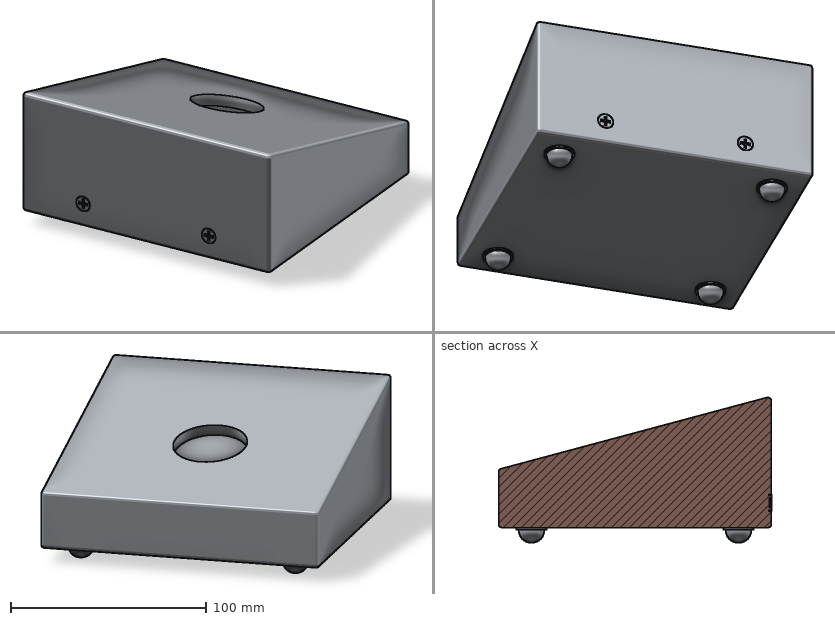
import cadquery as cq
import math

width = 148.0
depth = 140.0
total_height = 74.6
foot_height = 7.7
slope_angle = 15.0
edge_radius = 2.0

recess_diameter = 38.0
recess_depth = 5.9
recess_y = 81.1

flange_diameter = 15.5
flange_thickness = 1.0
dome_radius = foot_height - flange_thickness
foot_inset = 17.0

screw_hole_diameter = 8.3
screw_head_diameter = 8.0
screw_gap_depth = 1.5
screw_spacing = 74.9
screw_z = 12.9
cross_length = 5.0
cross_width = 1.2
cross_depth = 1.0

slope = math.radians(slope_angle)
ridge_loss = edge_radius * (1 / math.cos(slope) + math.tan(slope) - 1)
front_height = total_height - foot_height + ridge_loss
back_height = front_height - depth * math.tan(slope)


def make_body():
    profile = [(0, 0), (depth, 0), (depth, back_height), (0, front_height)]
    wedge = cq.Workplane("YZ").polyline(profile).close().extrude(width)
    return wedge.edges().fillet(edge_radius)


def make_recess():
    center = (width / 2, recess_y, front_height - recess_y * math.tan(slope))
    top_normal = (0, math.sin(slope), math.cos(slope))
    top_plane = cq.Plane(origin=center, xDir=(1, 0, 0), normal=top_normal)
    return (
        cq.Workplane(top_plane)
        .circle(recess_diameter / 2)
        .extrude(recess_depth, both=True)
    )


def make_foot(x, y):
    flange = cq.Workplane("XY").center(x, y).circle(flange_diameter / 2).extrude(-flange_thickness)
    ball = cq.Workplane("XY").sphere(dome_radius).translate((x, y, -flange_thickness))
    return flange.union(ball)


def make_screw_cut(x):
    front = cq.Workplane("XZ", origin=(x, 0, screw_z))
    gap = (
        front.circle(screw_hole_diameter / 2)
        .circle(screw_head_diameter / 2)
        .extrude(-screw_gap_depth)
    )
    horizontal = front.rect(cross_length, cross_width).extrude(-cross_depth)
    vertical = front.rect(cross_width, cross_length).extrude(-cross_depth)
    return gap.union(horizontal.union(vertical))


result = make_body().cut(make_recess())

for foot_x in (foot_inset, width - foot_inset):
    for foot_y in (foot_inset, depth - foot_inset):
        result = result.union(make_foot(foot_x, foot_y))

for side in (-1, 1):
    result = result.cut(make_screw_cut(width / 2 + side * screw_spacing / 2))